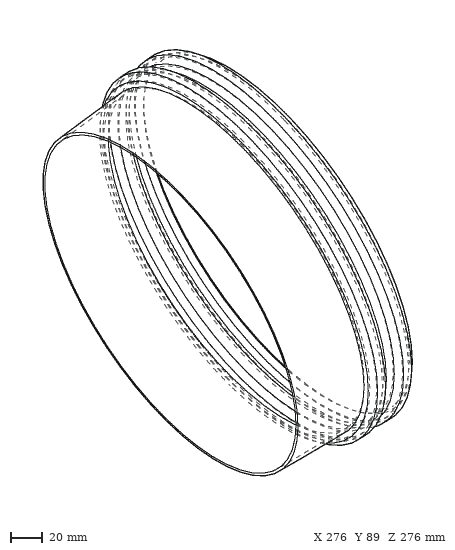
import cadquery as cq
import math

wall = 2.0
overall_length = 88.98

bead_radius = 276.0 / 2
groove_radius = 267.5 / 2
flank_angle = math.radians(45)
bead_flank = bead_radius - groove_radius
crest_width = 6.5
groove_width = 6.5
bead_count = 2

spigot_root_radius = 129.5
spigot_tip_radius = 127.0

bead_width = crest_width + 2 * bead_flank
bead_pitch = bead_width + groove_width

y_back = overall_length / 2
y_shoulder = y_back - (bead_count - 1) * bead_pitch - bead_width
y_inner_shoulder = y_shoulder + wall
y_tip = -overall_length / 2

corner_shift = wall * math.tan(flank_angle / 2)
end_cut = wall * math.sin(flank_angle)


def bead_points(index, radial_inset, axial_inset):
    """Four corners of one bead, from the back towards the tip, drawn in by the two insets."""
    y_start = y_back - index * bead_pitch - axial_inset
    y_end = y_back - index * bead_pitch - bead_width + axial_inset
    return [
        (groove_radius - radial_inset, y_start),
        (bead_radius - radial_inset, y_start - bead_flank),
        (bead_radius - radial_inset, y_end + bead_flank),
        (groove_radius - radial_inset, y_end),
    ]


def all_beads(radial_inset, axial_inset):
    """Corners of every bead in order along the axis."""
    points = []
    for index in range(bead_count):
        points += bead_points(index, radial_inset, axial_inset)
    return points


def outer_points():
    """Outer side of the sheet, from the back end to the spigot tip."""
    return all_beads(0, 0) + [
        (spigot_root_radius, y_shoulder),
        (spigot_tip_radius, y_tip),
    ]


def inner_points():
    """Inner side of the sheet, from the back end to the spigot tip."""
    back_corner = (groove_radius - end_cut, y_back - end_cut)
    beads = all_beads(wall, corner_shift)
    last_radius, last_y = beads[-1]
    shoulder_corner = (last_radius + y_inner_shoulder - last_y, y_inner_shoulder)
    return [back_corner] + beads[1:-1] + [
        shoulder_corner,
        (spigot_root_radius - wall, y_inner_shoulder),
        (spigot_tip_radius - wall, y_tip),
    ]


half_section = outer_points() + inner_points()[::-1]
full_turn = 360
result = (
    cq.Workplane("XY")
    .polyline(half_section)
    .close()
    .revolve(full_turn, (0, 0, 0), (0, 1, 0))
)